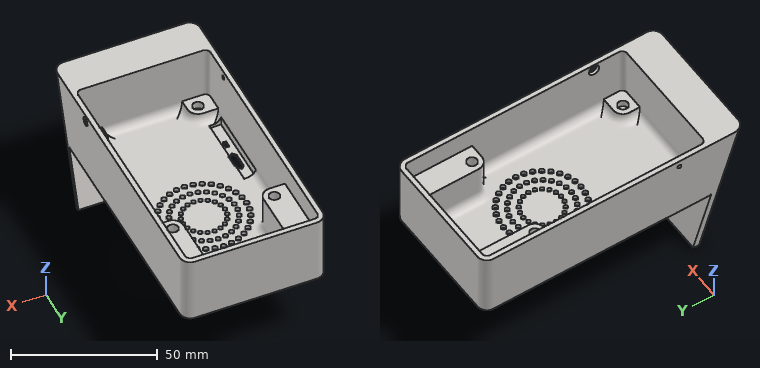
import cadquery as cq
import math

WIDTH = 53.72
DEPTH = 107.78
BODY_HEIGHT = 26.7
WALL = 2.0
FLOOR = 1.7
OUTER_RADIUS = 4.0
POCKET_RADIUS = 2.0
POCKET_LENGTH = 91.0
FLOOR_FILLET = 4.0

LEAN = math.radians(18)
PLATE_LENGTH = 54.0
PLATE_THICKNESS = 5.0

POST_HOLE_SPACING = 38.1
POST_RADIUS = 4.0
POST_HOLE_DIAMETER = 4.0
REAR_POST_LENGTH = 28.4
REAR_POST_HEIGHT = 16.0
FRONT_POST_LENGTH = 8.3
FRONT_POST_HEIGHT = FLOOR_FILLET + 0.02
FRONT_HOLE_DEPTH = 3.0

GRILLE_FROM_REAR = 42.4
GRILLE_RINGS = [
    (16.0, 2.0, 32, 0.0),
    (12.0, 1.8, 26, 5.9),
    (8.0, 1.6, 20, 2.0),
]

GROOVE_WIDTH = 4.4
GROOVE_LENGTH = 28.4
GROOVE_WALL_GAP = 0.3
GROOVE_DEPTH = 1.0
GROOVE_FROM_REAR = 53.4
CONNECTOR_FROM_REAR = 63.3
CONNECTOR_LONG = 8.3
CONNECTOR_WALL_SIDE = 5.8
CONNECTOR_INNER_SIDE = 5.1
CONNECTOR_WIDTH = 3.3
CONNECTOR_FROM_WALL = 1.7
CONNECTOR_CREST = 1.2
LAMP_FROM_REAR = 72.3
LAMP_WIDTH = 1.3
LAMP_LENGTH = 2.7
LAMP_FROM_WALL = 2.2

PIN_DIAMETER = 1.6
PIN_CLEARANCE_DIAMETER = 3.3
PIN_SEAT_DIAMETER = 4.2
PIN_SEAT_DEPTH = 1.3
PIN_FROM_FRONT = 27.0
PIN_BELOW_RIM = 2.85

POCKET_WIDTH = WIDTH - 2 * WALL
POCKET_HALF = POCKET_WIDTH / 2
POCKET_REAR = DEPTH - WALL
POCKET_FRONT = POCKET_REAR - POCKET_LENGTH
REAR_POST_END = POCKET_REAR - REAR_POST_LENGTH
FRONT_POST_END = POCKET_FRONT + FRONT_POST_LENGTH
POST_HOLE_X = POST_HOLE_SPACING / 2
POST_INNER_X = POST_HOLE_X - POST_RADIUS
SIDES = (-1, 1)


def outer_block():
    """Body and leaning plate as one side profile, with rounded rear and front corners."""
    tip_y = PLATE_LENGTH * math.sin(LEAN)
    tip_z = BODY_HEIGHT - PLATE_LENGTH * math.cos(LEAN)
    heel_y = tip_y + PLATE_THICKNESS * math.cos(LEAN)
    heel_z = tip_z + PLATE_THICKNESS * math.sin(LEAN)
    notch_y = heel_y + heel_z * math.tan(LEAN)
    profile = [
        (0, BODY_HEIGHT),
        (tip_y, tip_z),
        (heel_y, heel_z),
        (notch_y, 0),
        (DEPTH, 0),
        (DEPTH, BODY_HEIGHT),
    ]
    block = cq.Workplane("YZ").polyline(profile).close().extrude(WIDTH / 2, both=True)
    block = block.edges("|Z and >Y").fillet(OUTER_RADIUS)
    front_normal = cq.Vector(0, -math.cos(LEAN), -math.sin(LEAN))
    along_slope = cq.selectors.ParallelDirSelector(cq.Vector(0, -math.sin(LEAN), math.cos(LEAN)))
    front_face = cq.selectors.DirectionMinMaxSelector(front_normal)
    return block.faces(front_face).edges(along_slope).fillet(OUTER_RADIUS)


def corner_post(side, wall_y, inner_y, height):
    """Post in a pocket corner; only its free upright edge is rounded.

    It reaches half a wall into the walls and half a floor into the floor for a clean joint.
    """
    outer_x = side * (POCKET_HALF + WALL / 2)
    inner_x = side * POST_INNER_X
    y_sign = 1 if wall_y > inner_y else -1
    outer_y = wall_y + y_sign * WALL / 2
    arc_start = (inner_x, inner_y + y_sign * POST_RADIUS)
    arc_end = (inner_x + side * POST_RADIUS, inner_y)
    return (
        cq.Workplane("XY")
        .workplane(offset=FLOOR / 2)
        .moveTo(outer_x, outer_y)
        .lineTo(inner_x, outer_y)
        .lineTo(*arc_start)
        .radiusArc(arc_end, -side * y_sign * POST_RADIUS)
        .lineTo(outer_x, inner_y)
        .close()
        .extrude(FLOOR / 2 + height)
    )


def pocket():
    """Space inside the walls, around the posts, with the floor edge rounded."""
    space = (
        cq.Workplane("XY")
        .workplane(offset=FLOOR)
        .center(0, (POCKET_REAR + POCKET_FRONT) / 2)
        .rect(POCKET_WIDTH, POCKET_LENGTH)
        .extrude(BODY_HEIGHT - FLOOR)
        .edges("|Z")
        .fillet(POCKET_RADIUS)
    )
    for side in SIDES:
        space = space.cut(corner_post(side, POCKET_REAR, REAR_POST_END, REAR_POST_HEIGHT))
        space = space.cut(corner_post(side, POCKET_FRONT, FRONT_POST_END, FRONT_POST_HEIGHT))
    return space.faces("<Z").edges().fillet(FLOOR_FILLET)


def post_holes():
    """Through holes in the rear posts and blind holes in the front posts."""
    rear_y = REAR_POST_END + POST_RADIUS
    front_y = FRONT_POST_END - POST_RADIUS
    rear = (
        cq.Workplane("XY")
        .pushPoints([(side * POST_HOLE_X, rear_y) for side in SIDES])
        .circle(POST_HOLE_DIAMETER / 2)
        .extrude(BODY_HEIGHT)
    )
    front = (
        cq.Workplane("XY")
        .workplane(offset=FLOOR + FRONT_POST_HEIGHT - FRONT_HOLE_DEPTH)
        .pushPoints([(side * POST_HOLE_X, front_y) for side in SIDES])
        .circle(POST_HOLE_DIAMETER / 2)
        .extrude(FRONT_HOLE_DEPTH)
    )
    return rear.union(front)


def grille_holes():
    """Three rings of small holes through the floor."""
    holes = cq.Workplane("XY")
    for radius, diameter, count, start_angle in GRILLE_RINGS:
        ring = (
            cq.Workplane("XY")
            .center(0, DEPTH - GRILLE_FROM_REAR)
            .polarArray(radius, start_angle, 360, count)
            .circle(diameter / 2)
            .extrude(FLOOR + FLOOR_FILLET)
        )
        holes = holes.add(ring)
    return holes.combine()


def board_openings():
    """Groove for the upright board, its six-sided connector opening and its lamp slot."""
    groove = (
        cq.Workplane("XY")
        .workplane(offset=FLOOR - GROOVE_DEPTH)
        .moveTo(-POCKET_HALF + GROOVE_WALL_GAP, DEPTH - GROOVE_FROM_REAR)
        .rect(GROOVE_WIDTH, -GROOVE_LENGTH, centered=False)
        .extrude(GROOVE_DEPTH + FLOOR_FILLET)
    )
    wall_x = -POCKET_HALF + CONNECTOR_FROM_WALL
    crest_x = wall_x + CONNECTOR_CREST
    inner_x = wall_x + CONNECTOR_WIDTH
    connector = (
        cq.Workplane("XY")
        .center(0, DEPTH - CONNECTOR_FROM_REAR)
        .polyline([
            (wall_x, CONNECTOR_WALL_SIDE / 2),
            (crest_x, CONNECTOR_LONG / 2),
            (inner_x, CONNECTOR_INNER_SIDE / 2),
            (inner_x, -CONNECTOR_INNER_SIDE / 2),
            (crest_x, -CONNECTOR_LONG / 2),
            (wall_x, -CONNECTOR_WALL_SIDE / 2),
        ])
        .close()
        .extrude(FLOOR + FLOOR_FILLET)
    )
    lamp = (
        cq.Workplane("XY")
        .center(-POCKET_HALF + LAMP_FROM_WALL + LAMP_WIDTH / 2, DEPTH - LAMP_FROM_REAR)
        .rect(LAMP_WIDTH, LAMP_LENGTH)
        .extrude(FLOOR)
    )
    return groove.union(connector).union(lamp)


def pin_holes():
    """Small hole through the left wall and a stepped hole through the right wall, on one axis."""
    axis = cq.Workplane("YZ").center(PIN_FROM_FRONT, BODY_HEIGHT - PIN_BELOW_RIM)
    pin = axis.circle(PIN_DIAMETER / 2).extrude(-WIDTH / 2)
    clearance = axis.circle(PIN_CLEARANCE_DIAMETER / 2).extrude(WIDTH / 2)
    seat = axis.circle(PIN_SEAT_DIAMETER / 2).extrude(POCKET_HALF + PIN_SEAT_DEPTH)
    return pin.union(clearance).union(seat)


result = (
    outer_block()
    .cut(pocket())
    .cut(post_holes())
    .cut(grille_holes())
    .cut(board_openings())
    .cut(pin_holes())
)